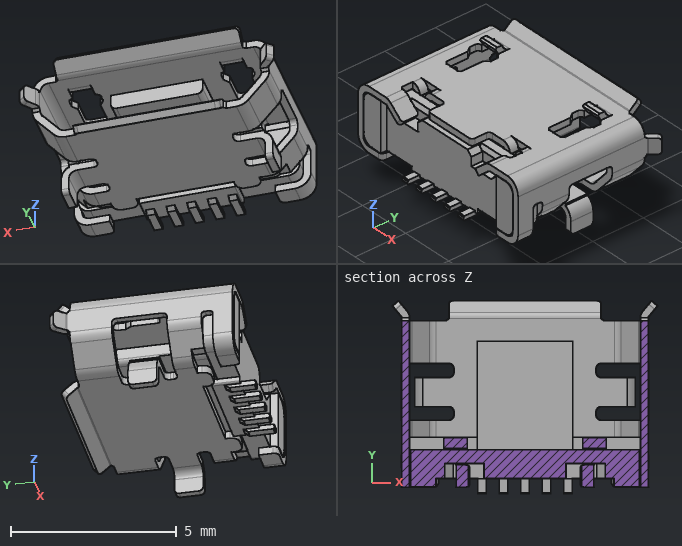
import cadquery as cq
import math


total_width = 8
front_tip_y = 5.62
sheet = 0.25
shell_half_width = 3.72
shell_length = 5.02
shell_top = 2.37
corner_radius = 0.5
shell_top_inner = shell_top - sheet
taper_start_z = 0.93
taper_angle = 41
rear_skirt_length = 0.61
rear_skirt_bottom = -0.04
rear_skirt_inner_end = 2.6
rear_skirt_end_radius = 0.17

slit_front = 0.97
slit_top = 1.28
slit_radius = 0.11
bottom_tab_rear = 1.01
bottom_tab_inner_x = 1.53
bottom_tab_outer_x = 2.33
bottom_tab_radius = 0.26
notch_front = 1.39
notch_top = 0.32
window_rear = 2.02
window_front = 3.73
window_top = 1.39
window_inner_x = 2.14
window_radius = 0.14
window_slot_radius = 0.15

flare_angle = 40
flare_bend_radius = 0.05
vertical_flare_rise = 0.3
side_flare_rise = total_width / 2 - shell_half_width
flare_corner_radius = 0.14
flare_root_widening = 0.08
top_flare_width = 5.82
bottom_flare_width = 4.59
side_flare_width = 0.59
side_flare_z = 1.49

leg_rear = 2.42
leg_front = 3.31
leg_bottom = -0.76
leg_outer_x = 3.33
leg_bend_radius = 0.26
leg_corner_radius = 0.14

latch_x = 2.38
latch_half_width = 0.35
latch_root_y = 4.57
latch_angle = 58
latch_bend_radius = 0.27
latch_length = 0.25
latch_top = 2.62
keyhole_half_width = 0.5
keyhole_front = 4.06
keyhole_taper_front = 3.7
keyhole_taper_rear = 3.51
keyhole_rear = 2.59
keyhole_head_radius = 0.14
keyhole_stem_radius = 0.11

top_slot_inner_x = 1.02
top_slot_outer_x = 2.54
top_slot_front = 1.17
top_slot_rear = 0.68
top_slot_radius = 0.13
top_slot_outer_radius = 0.1
top_tongue_rear = 0.46
hook_root_x = 2.43
hook_angle = 40
hook_bend_radius = 0.1
hook_length = 0.7
hook_corner_radius = 0.11

strap_inner_x = 1.64
strap_front = 1.5
strap_radius = 0.34

housing_rear = 0.02
housing_front = 1.14
shelf_front = 1.5
shelf_top = 1.6
housing_corner_radius = 0.37
housing_half_width = shell_half_width - sheet
housing_bottom = rear_skirt_bottom + sheet
recess_half_width = 2.68
recess_depth = 0.26
foot_half_width = 1.53
foot_bottom = 0.02
foot_radius = 0.05
pocket_floor = 1.6
pocket_inner_x = 1.24
pocket_outer_x = 2.16
pocket_outer_top_x = 2.67
pocket_chamfer = 0.18
pocket_back_y = 0.71
pocket_back_chamfer_y = 0.1
pocket_back_chamfer_z = 0.15
tongue_half_width = 1.44
tongue_bottom = 1.22
tongue_top = 1.73
tongue_front = 4.4
tongue_radius = 0.17
tongue_groove_rear = 2.36
tongue_groove_width = 0.42
tongue_groove_depth = 0.11

pin_count = 5
pin_pitch = 0.65
pin_width = 0.26
pin_tip_y = -0.2
pin_bend_y = 0.61
pin_bend_end_y = 0.76
pin_bottom = -0.08
pin_top = 0.09
pin_tip_chamfer = 0.03

X_AXIS = cq.Vector(1, 0, 0)
Y_AXIS = cq.Vector(0, 1, 0)
Z_AXIS = cq.Vector(0, 0, 1)


def span_box(x_range, y_range, z_range):
    """Box between two limits on each axis."""
    size = [high - low for low, high in (x_range, y_range, z_range)]
    corner = (x_range[0], y_range[0], z_range[0])
    return cq.Workplane("XY").box(*size, centered=False).translate(corner)


def along_y(points, y_rear, y_front):
    """Prism along Y with an outline given as (x, z) points."""
    outline = cq.Workplane("XZ", origin=(0, y_rear, 0)).polyline(points).close()
    return outline.extrude(y_rear - y_front)


def along_z(points, z_low, z_high):
    """Prism along Z with an outline given as (x, y) points."""
    outline = cq.Workplane("XY", origin=(0, 0, z_low)).polyline(points).close()
    return outline.extrude(z_high - z_low)


def both_sides(right_half):
    """A right-hand feature together with its mirror image."""
    return right_half.union(right_half.mirror("YZ"))


def bent_strip(root, along, towards, width, bend_radius, angle, length, tip_radius=0):
    """Sheet strip leaving root in direction along, bent towards a side, then running straight.

    The root lies mid-width on the face that ends up inside the bend.
    """
    turn = math.radians(angle)
    outer_radius = bend_radius + sheet

    def on_bend(radius, part):
        return (radius * math.sin(part * turn), bend_radius - radius * math.cos(part * turn))

    def past_bend(radius):
        u, v = on_bend(radius, 1)
        return (u + length * math.cos(turn), v + length * math.sin(turn))

    plane = cq.Plane(origin=root.toTuple(), xDir=along.toTuple(), normal=along.cross(towards).toTuple())
    strip = (
        cq.Workplane(plane)
        .moveTo(0, 0)
        .threePointArc(on_bend(bend_radius, 0.5), on_bend(bend_radius, 1))
        .lineTo(*past_bend(bend_radius))
        .lineTo(*past_bend(outer_radius))
        .lineTo(*on_bend(outer_radius, 1))
        .threePointArc(on_bend(outer_radius, 0.5), (0, -sheet))
        .close()
        .extrude(width / 2, both=True)
    )
    if tip_radius:
        across_tip = along * -math.sin(turn) + towards * math.cos(turn)
        strip = strip.edges(cq.selectors.ParallelDirSelector(across_tip)).fillet(tip_radius)
    return strip


def rounded_prism(points, inset, radius, y_rear, y_front):
    """Prism along Y whose outline is pulled in by inset and has rounded corners."""
    outline = cq.Workplane("XZ", origin=(0, y_rear, 0)).polyline(points).close()
    if inset:
        outline = outline.offset2D(-inset, "intersection")
    return outline.extrude(y_rear - y_front).edges("|Y").fillet(radius)


taper_end_x = shell_half_width - taper_start_z * math.tan(math.radians(taper_angle))
tapered_outline = [
    (-shell_half_width, shell_top),
    (shell_half_width, shell_top),
    (shell_half_width, taper_start_z),
    (taper_end_x, 0),
    (-taper_end_x, 0),
    (-shell_half_width, taper_start_z),
]
square_outline = [
    (-shell_half_width, shell_top),
    (shell_half_width, shell_top),
    (shell_half_width, rear_skirt_bottom),
    (-shell_half_width, rear_skirt_bottom),
]


def tube(points, y_rear, y_front):
    outside = rounded_prism(points, 0, corner_radius, y_rear, y_front)
    return outside.cut(rounded_prism(points, sheet, corner_radius - sheet, y_rear, y_front))


def make_shell_body():
    rear_gap = span_box(
        (-rear_skirt_inner_end, rear_skirt_inner_end),
        (0, rear_skirt_length),
        (rear_skirt_bottom, rear_skirt_bottom + sheet),
    )
    skirt = tube(square_outline, 0, rear_skirt_length).cut(rear_gap)
    for side in (-1, 1):
        end_corner = cq.selectors.NearestToPointSelector(
            (side * rear_skirt_inner_end, 0, rear_skirt_bottom + sheet / 2)
        )
        skirt = skirt.edges(end_corner).fillet(rear_skirt_end_radius)
    return skirt.union(tube(tapered_outline, rear_skirt_length, shell_length))


def slit_cut():
    """Slits up both sides that also free the rear edge of the bottom sheet."""
    reach = (-shell_half_width, shell_half_width)
    slit = span_box(reach, (rear_skirt_length, slit_front), (rear_skirt_bottom, slit_top))
    return slit.edges("|X and >Z").fillet(slit_radius)


def bottom_edge_cut():
    """Notch along the rear of the bottom sheet that leaves two rounded tabs."""
    notch = span_box((-shell_half_width, shell_half_width), (slit_front, notch_front), (0, notch_top))
    tab = span_box((bottom_tab_inner_x, bottom_tab_outer_x), (bottom_tab_rear, notch_front), (0, sheet))
    return notch.cut(both_sides(tab.edges("|Z and <Y").fillet(bottom_tab_radius)))


def window_cut():
    """Side windows that run round under the shell beside each solder leg."""
    def slot_beside_leg(y_rear, y_front):
        slot = span_box((window_inner_x, shell_half_width), (y_rear, y_front), (0, sheet))
        return slot.edges("|Z and <X").fillet(window_slot_radius)

    above_leg = span_box(
        (window_inner_x, shell_half_width), (window_rear, window_front), (sheet, window_top)
    )
    above_leg = above_leg.edges("|X and >Z").fillet(window_radius)
    past_leg = span_box((leg_outer_x - sheet, shell_half_width), (leg_rear, leg_front), (0, sheet))
    beside_leg = slot_beside_leg(window_rear, leg_rear).union(slot_beside_leg(leg_front, window_front))
    return both_sides(above_leg.union(past_leg).union(beside_leg))


def keyhole_cut():
    """Slot left by each latch, widened into a keyhole at the latch tip."""
    wide = [
        (latch_x - keyhole_half_width, keyhole_front),
        (latch_x + keyhole_half_width, keyhole_front),
        (latch_x + keyhole_half_width, keyhole_taper_front),
        (latch_x + latch_half_width, keyhole_taper_rear),
        (latch_x - latch_half_width, keyhole_taper_rear),
        (latch_x - keyhole_half_width, keyhole_taper_front),
    ]
    head = along_z(wide, shell_top_inner, shell_top)
    head = head.edges("|Z and >Y").fillet(keyhole_head_radius)
    stem_x = (latch_x - latch_half_width, latch_x + latch_half_width)
    stem = span_box(stem_x, (keyhole_rear, latch_root_y), (shell_top_inner, shell_top))
    stem = stem.edges("|Z and <Y").fillet(keyhole_stem_radius)
    return both_sides(head.union(stem))


def top_rear_cut():
    """Opening along the rear of the top sheet, leaving a wide tongue in the middle."""
    outline = [
        (0, 0),
        (hook_root_x, 0),
        (hook_root_x, top_slot_rear),
        (top_slot_outer_x, top_slot_rear),
        (top_slot_outer_x, top_slot_front),
        (top_slot_inner_x, top_slot_front),
        (top_slot_inner_x, top_tongue_rear),
        (0, top_tongue_rear),
    ]
    opening = along_z(outline, shell_top_inner, shell_top)
    corners = [
        (top_slot_outer_x, top_slot_rear, top_slot_outer_radius),
        (top_slot_inner_x, top_slot_front, top_slot_radius),
        (top_slot_inner_x, top_tongue_rear, top_slot_radius),
    ]
    middle_z = (shell_top + shell_top_inner) / 2
    for x, y, radius in corners:
        corner = cq.selectors.NearestToPointSelector((x, y, middle_z))
        opening = opening.edges(corner).fillet(radius)
    strap_gap = span_box(
        (strap_inner_x, top_slot_outer_x), (top_slot_front, strap_front), (shell_top_inner, shell_top)
    )
    return both_sides(opening.union(strap_gap))


def flare(root, outward, width, rise):
    """One lip of the mouth, with a slightly widened root."""
    turn = math.radians(flare_angle)
    length = (rise - flare_bend_radius * (1 - math.cos(turn))) / math.sin(turn)
    bent_reach = (flare_bend_radius + sheet) * math.sin(turn) + length * math.cos(turn)
    root_length = front_tip_y - shell_length - bent_reach
    bend_start = root + Y_AXIS * root_length
    lip = bent_strip(
        bend_start, Y_AXIS, outward, width, flare_bend_radius, flare_angle, length, flare_corner_radius
    )
    root_half_width = width / 2 + flare_root_widening
    root_outline = [
        (0, -root_half_width),
        (root_length, -width / 2),
        (root_length, width / 2),
        (0, root_half_width),
    ]
    plane = cq.Plane(origin=root.toTuple(), xDir=Y_AXIS.toTuple(), normal=(outward * -1).toTuple())
    return lip.union(cq.Workplane(plane).polyline(root_outline).close().extrude(sheet))


def make_flares():
    top = flare(cq.Vector(0, shell_length, shell_top), Z_AXIS, top_flare_width, vertical_flare_rise)
    bottom = flare(cq.Vector(0, shell_length, 0), Z_AXIS * -1, bottom_flare_width, vertical_flare_rise)
    side_root = cq.Vector(shell_half_width, shell_length, side_flare_z)
    side = flare(side_root, X_AXIS, side_flare_width, side_flare_rise)
    return top.union(bottom).union(both_sides(side))


def make_legs():
    bend_start_x = leg_outer_x - leg_bend_radius - sheet
    middle_y = (leg_rear + leg_front) / 2
    leg = bent_strip(
        cq.Vector(bend_start_x, middle_y, 0), X_AXIS, Z_AXIS * -1, leg_front - leg_rear,
        leg_bend_radius, 90, -leg_bottom - leg_bend_radius, leg_corner_radius,
    )
    root = span_box((window_inner_x, bend_start_x), (leg_rear, leg_front), (0, sheet))
    return both_sides(leg.union(root))


def make_latches():
    latch = bent_strip(
        cq.Vector(latch_x, latch_root_y, shell_top), Y_AXIS * -1, Z_AXIS, 2 * latch_half_width,
        latch_bend_radius, latch_angle, latch_length,
    )
    tip_trim = span_box(
        (latch_x - latch_half_width, latch_x + latch_half_width),
        (keyhole_rear, latch_root_y),
        (latch_top, latch_top + sheet),
    )
    return both_sides(latch.cut(tip_trim))


def make_hooks():
    hook = bent_strip(
        cq.Vector(hook_root_x, top_slot_rear / 2, shell_top_inner), X_AXIS * -1, Z_AXIS * -1,
        top_slot_rear, hook_bend_radius, hook_angle, hook_length, hook_corner_radius,
    )
    return both_sides(hook)


def make_straps():
    """U-shaped straps pressed down just ahead of the housing front face."""
    under_radius = strap_radius - sheet
    dip_z = shell_top - strap_radius
    diagonal = math.sqrt(0.5)
    left, right = strap_inner_x, top_slot_outer_x
    strap = (
        cq.Workplane("XZ", origin=(0, top_slot_front, 0))
        .moveTo(left, shell_top)
        .threePointArc(
            (left + diagonal * strap_radius, dip_z + diagonal * strap_radius), (left + strap_radius, dip_z)
        )
        .lineTo(right - strap_radius, dip_z)
        .threePointArc(
            (right - diagonal * strap_radius, dip_z + diagonal * strap_radius), (right, shell_top)
        )
        .lineTo(right, shell_top_inner)
        .threePointArc(
            (right - diagonal * under_radius, dip_z + diagonal * under_radius), (right - under_radius, dip_z)
        )
        .lineTo(right - under_radius, dip_z - sheet)
        .lineTo(left + under_radius, dip_z - sheet)
        .lineTo(left + under_radius, dip_z)
        .threePointArc(
            (left + diagonal * under_radius, dip_z + diagonal * under_radius), (left, shell_top_inner)
        )
        .close()
        .extrude(top_slot_front - strap_front)
    )
    return both_sides(strap)


def make_shell():
    shell = make_shell_body()
    for opening in (slit_cut(), bottom_edge_cut(), window_cut(), keyhole_cut(), top_rear_cut()):
        shell = shell.cut(opening)
    for bent in (make_flares(), make_legs(), make_latches(), make_hooks(), make_straps()):
        shell = shell.union(bent)
    return shell


def pocket_cut():
    """Pocket that clears each rear hook, with a chamfered rear edge above its back wall."""
    outline = [
        (pocket_inner_x - pocket_chamfer, shell_top_inner),
        (pocket_inner_x, shell_top_inner - pocket_chamfer),
        (pocket_inner_x, pocket_floor),
        (pocket_outer_x, pocket_floor),
        (pocket_outer_top_x, shell_top_inner),
    ]
    pocket = along_y(outline, 0, pocket_back_y)
    edge = (
        cq.Workplane("YZ", origin=(pocket_inner_x - pocket_chamfer, 0, 0))
        .moveTo(pocket_back_y, shell_top_inner)
        .lineTo(pocket_back_y + pocket_back_chamfer_y, shell_top_inner)
        .lineTo(pocket_back_y, shell_top_inner - pocket_back_chamfer_z)
        .close()
        .extrude(pocket_outer_x - pocket_inner_x + pocket_chamfer)
    )
    return both_sides(pocket.union(edge))


def make_tongue():
    """Contact tongue inside the mouth, grooved across its underside."""
    width = (-tongue_half_width, tongue_half_width)
    tongue = span_box(width, (housing_front, tongue_front), (tongue_bottom, tongue_top))
    tongue = tongue.edges("|Y and <Z").fillet(tongue_radius)
    groove = span_box(
        width,
        (tongue_groove_rear, tongue_groove_rear + tongue_groove_width),
        (tongue_bottom, tongue_bottom + tongue_groove_depth),
    )
    return tongue.cut(groove)


def make_housing():
    outline = [
        (-housing_half_width, shell_top_inner),
        (housing_half_width, shell_top_inner),
        (housing_half_width, housing_bottom),
        (-housing_half_width, housing_bottom),
    ]
    rear_block = rounded_prism(outline, 0, housing_corner_radius, housing_rear, slit_front)
    front_block = rounded_prism(outline, 0, housing_corner_radius, slit_front, shelf_front)
    front_block = front_block.intersect(
        rounded_prism(tapered_outline, sheet, corner_radius - sheet, slit_front, shelf_front)
    )
    above_shelf = span_box(
        (-housing_half_width, housing_half_width), (housing_front, shelf_front), (shelf_top, shell_top_inner)
    )
    block = rear_block.union(front_block.cut(above_shelf))
    foot = span_box(
        (-foot_half_width, foot_half_width), (0, housing_front), (foot_bottom, housing_bottom)
    )
    foot = foot.edges("|Y and <Z").fillet(foot_radius)
    recess = span_box(
        (-recess_half_width, recess_half_width), (0, recess_depth), (foot_bottom, shell_top_inner)
    )
    return block.union(foot).cut(recess).cut(pocket_cut()).union(make_tongue())


def make_pin(x):
    outline = [
        (pin_tip_y, pin_bottom + pin_tip_chamfer),
        (pin_tip_y + pin_tip_chamfer, pin_bottom),
        (pin_bend_y, pin_bottom),
        (pin_bend_end_y, foot_bottom),
        (pin_bend_end_y, pin_top),
        (pin_tip_y + pin_tip_chamfer, pin_top),
        (pin_tip_y, pin_top - pin_tip_chamfer),
    ]
    plane = cq.Workplane("YZ", origin=(x, 0, 0))
    return plane.polyline(outline).close().extrude(pin_width / 2, both=True)


result = make_shell().union(make_housing())
for index in range(pin_count):
    result = result.union(make_pin((index - (pin_count - 1) / 2) * pin_pitch))